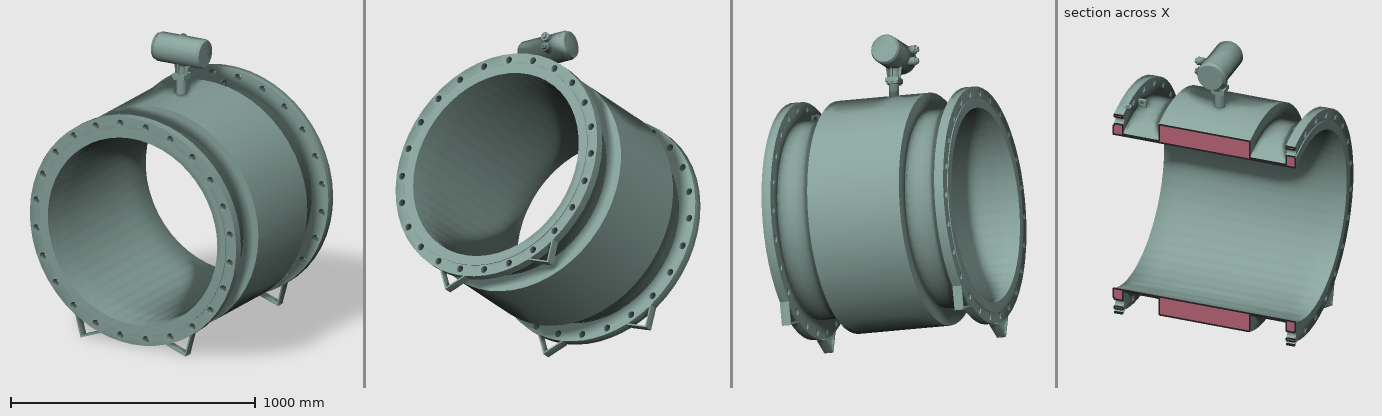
import cadquery as cq

LENGTH = 800.0
BORE_DIAMETER = 800.0
PIPE_DIAMETER = 816.0

SEAM_WIDTH = 7.0
SEAM_HEIGHT = 0.6

JACKET_DIAMETER = 957
JACKET_LENGTH = 400.0

FLANGE_DIAMETER = 974.0
FLANGE_THICKNESS = 39.0
RAISED_FACE_DIAMETER = 880.0
RAISED_FACE_HEIGHT = 4.0
BOLT_CIRCLE_DIAMETER = 920
BOLT_HOLE_DIAMETER = 30.0
BOLT_COUNT = 24

LUG_THICKNESS = 11.0
LUG_LENGTH = 35.0
LUG_TOP = 442
LUG_CORNER_RADIUS = 7.0
LUG_HOLE_DIAMETER = 18.0
LUG_HOLE_HEIGHT = 426.0

FOOT_BOTTOM = -498.0
FOOT_CORNER_X = 248.0
FOOT_LEG_LENGTH = 98
FOOT_THICKNESS = 6.0
FOOT_OUTER_LEG_ANGLE = 105
FOOT_INNER_LEG_ANGLE = 20

TERMINAL_ANGLE = 15
TERMINAL_WIDTH = 20.0
TERMINAL_LENGTH = 35.0
TERMINAL_THICKNESS = 7.0
TERMINAL_Y = 357.0
TERMINAL_SCREW_Y = 355.0
TERMINAL_SCREW_DIAMETER = 8.0
TERMINAL_SCREW_LENGTH = 22.0
TERMINAL_NUT_DIAMETER = 17.0
TERMINAL_NUT_HEIGHT = 6.0

HOUSING_TOP = 729.0
HOUSING_DIAMETER = 123
HOUSING_LENGTH = 226.0
COVER_DIAMETER = 110
COVER_RIM = 5.0
COVER_TAPER = 11.0
COVER_GAP = 4.0
COVER_GAP_DEPTH = 1.0

GLAND_X = -35.0
GLAND_SPACING = 48.0
GLAND_DIAMETER = 33.0
GLAND_RIM_DIAMETER = 37
GLAND_RIM_LENGTH = 4.0
GLAND_END_Y = 82.0
PLUG_DIAMETER = 23.0
PLUG_END_Y = 93.0
PLUG_SOCKET_DIAMETER = 8.0
PLUG_SOCKET_DEPTH = 6.0

STEM_DIAMETER = 42.0
COLLAR_TOP = 568.0
COLLAR_SIZE = 56.0
COLLAR_HEIGHT = 18.0
COLLAR_STEP_SIZE = 49
COLLAR_STEP_HEIGHT = 7.0
RIB_THICKNESS = 5.0
RIB_TOP_REACH = 33.0
RIB_BOTTOM_REACH = 28.0

HEX_SIDES = 6

HALF_LENGTH = LENGTH / 2
FLANGE_OUTER_Y = HALF_LENGTH - RAISED_FACE_HEIGHT
FLANGE_INNER_Y = FLANGE_OUTER_Y - FLANGE_THICKNESS
HOUSING_Z = HOUSING_TOP - HOUSING_DIAMETER / 2
PIPE_RADIUS = PIPE_DIAMETER / 2
FLANGE_RADIUS = FLANGE_DIAMETER / 2


def cylinder_y(diameter, start_y, end_y, x=0, z=0):
    """Cylinder along Y between two Y positions."""
    base = cq.Workplane("XZ", origin=(x, start_y, z))
    return base.circle(diameter / 2).extrude(start_y - end_y)


def make_tube():
    """Pipe, jacket and weld seams, still without the bore."""
    half_jacket = JACKET_LENGTH / 2
    tube = cylinder_y(PIPE_DIAMETER, -HALF_LENGTH, HALF_LENGTH)
    tube = tube.union(cylinder_y(JACKET_DIAMETER, -half_jacket, half_jacket))
    seam_diameter = PIPE_DIAMETER + 2 * SEAM_HEIGHT
    for side in (-1, 1):
        for root, direction in ((half_jacket, 1), (FLANGE_INNER_Y, -1)):
            end = root + direction * SEAM_WIDTH
            tube = tube.union(cylinder_y(seam_diameter, side * root, side * end))
    return tube


def make_flange(side):
    """Flange with raised face; side is -1 or 1 along Y."""
    flange = cylinder_y(FLANGE_DIAMETER, side * FLANGE_INNER_Y, side * FLANGE_OUTER_Y)
    face = cylinder_y(RAISED_FACE_DIAMETER, side * FLANGE_INNER_Y, side * HALF_LENGTH)
    holes = (
        cq.Workplane("XZ", origin=(0, side * FLANGE_INNER_Y, 0))
        .polarArray(BOLT_CIRCLE_DIAMETER / 2, 180 / BOLT_COUNT, 360, BOLT_COUNT)
        .circle(BOLT_HOLE_DIAMETER / 2)
        .extrude(-side * FLANGE_THICKNESS)
    )
    return flange.union(face).cut(holes)


def make_lug(side):
    """Upright plate with an eye, rooted in the pipe wall."""
    root_z = (PIPE_RADIUS + BORE_DIAMETER / 2) / 2
    height = LUG_TOP - root_z
    mid_y = side * (FLANGE_INNER_Y - LUG_LENGTH / 2)
    plate = (
        cq.Workplane("XY", origin=(0, mid_y, root_z))
        .box(LUG_THICKNESS, LUG_LENGTH, height, centered=(True, True, False))
        .edges("|X and >Z")
        .edges("<Y" if side > 0 else ">Y")
        .fillet(LUG_CORNER_RADIUS)
    )
    eye = (
        cq.Workplane("YZ", origin=(0, mid_y, LUG_HOLE_HEIGHT))
        .circle(LUG_HOLE_DIAMETER / 2)
        .extrude(LUG_THICKNESS, both=True)
    )
    return plate.cut(eye)


def make_foot(side, hand):
    """Strip bent to a V whose legs run up into the flange; hand mirrors it in X."""
    start_y = side * FLANGE_INNER_Y
    foot = None
    for angle, offset in ((FOOT_OUTER_LEG_ANGLE, -1), (FOOT_INNER_LEG_ANGLE, 1)):
        leg = (
            cq.Workplane("XZ", origin=(0, start_y, 0))
            .rect(FOOT_LEG_LENGTH, FOOT_THICKNESS)
            .extrude(-side * FLANGE_THICKNESS)
            .translate((FOOT_LEG_LENGTH / 2, 0, offset * FOOT_THICKNESS / 2))
            .rotate((0, 0, 0), (0, -1, 0), angle)
        )
        foot = leg if foot is None else foot.union(leg)
    foot = foot.translate((-FOOT_CORNER_X, 0, FOOT_BOTTOM))
    return foot if hand < 0 else foot.mirror("YZ")


def make_terminal():
    """Tab lying on the flange rim, its overhanging end clamped by a screw with two nuts."""
    tab = (
        cq.Workplane("XY", origin=(0, TERMINAL_Y, FLANGE_RADIUS))
        .box(TERMINAL_WIDTH, TERMINAL_LENGTH, TERMINAL_THICKNESS)
        .edges("|Z")
        .chamfer(TERMINAL_WIDTH / 4)
    )
    screw_axis = cq.Workplane("XY", origin=(0, TERMINAL_SCREW_Y, FLANGE_RADIUS))
    screw = screw_axis.circle(TERMINAL_SCREW_DIAMETER / 2).extrude(TERMINAL_SCREW_LENGTH / 2, both=True)
    nuts = screw_axis.polygon(HEX_SIDES, TERMINAL_NUT_DIAMETER).extrude(
        TERMINAL_THICKNESS / 2 + TERMINAL_NUT_HEIGHT, both=True
    )
    terminal = tab.union(screw).union(nuts)
    return terminal.rotate((0, 0, 0), (0, 1, 0), -TERMINAL_ANGLE)


def make_housing():
    """Drum with tapered covers at both ends and a gap line at the -X cover."""
    half = HOUSING_LENGTH / 2
    radius = HOUSING_DIAMETER / 2
    cover_radius = COVER_DIAMETER / 2
    gap_start = -half + COVER_RIM + COVER_TAPER
    gap_end = gap_start + COVER_GAP
    gap_radius = radius - COVER_GAP_DEPTH
    profile = [
        (-half, 0),
        (-half, cover_radius),
        (-half + COVER_RIM, cover_radius),
        (gap_start, radius),
        (gap_start, gap_radius),
        (gap_end, gap_radius),
        (gap_end, radius),
        (half - COVER_TAPER, radius),
        (half, cover_radius),
        (half, 0),
    ]
    drum = cq.Workplane("XZ").polyline(profile).close().revolve(360, (0, 0, 0), (1, 0, 0))
    return drum.translate((0, 0, HOUSING_Z))


def make_glands():
    """Two cable glands with blanking plugs, one above the other."""
    glands = cq.Workplane()
    for step in (-1, 1):
        z = HOUSING_Z + step * GLAND_SPACING / 2
        barrel = cylinder_y(GLAND_DIAMETER, 0, GLAND_END_Y, GLAND_X, z)
        rim_start_y = GLAND_END_Y - GLAND_RIM_LENGTH
        rim = cylinder_y(GLAND_RIM_DIAMETER, rim_start_y, GLAND_END_Y, GLAND_X, z)
        plug = (
            cq.Workplane("XZ", origin=(GLAND_X, GLAND_END_Y, z))
            .polygon(HEX_SIDES, PLUG_DIAMETER)
            .extrude(GLAND_END_Y - PLUG_END_Y)
        )
        socket_start_y = PLUG_END_Y - PLUG_SOCKET_DEPTH
        socket = cylinder_y(PLUG_SOCKET_DIAMETER, socket_start_y, PLUG_END_Y, GLAND_X, z)
        glands = glands.add(barrel.union(rim).union(plug).cut(socket))
    return glands.combine()


def make_stem():
    """Round stem with a square stepped collar and four tapered ribs above it."""
    stem = (
        cq.Workplane("XY", origin=(0, 0, PIPE_RADIUS))
        .circle(STEM_DIAMETER / 2)
        .extrude(HOUSING_Z - PIPE_RADIUS)
    )
    collar_bottom = COLLAR_TOP - COLLAR_HEIGHT
    collar = (
        cq.Workplane("XY", origin=(0, 0, collar_bottom))
        .rect(COLLAR_SIZE, COLLAR_SIZE)
        .extrude(COLLAR_HEIGHT)
    )
    step = (
        cq.Workplane("XY", origin=(0, 0, collar_bottom - COLLAR_STEP_HEIGHT))
        .rect(COLLAR_STEP_SIZE, COLLAR_STEP_SIZE)
        .extrude(COLLAR_STEP_HEIGHT)
    )
    housing_bottom = HOUSING_TOP - HOUSING_DIAMETER
    rib_top = HOUSING_Z - HOUSING_DIAMETER / 4
    rib = (
        cq.Workplane("XZ")
        .moveTo(-RIB_BOTTOM_REACH, COLLAR_TOP)
        .lineTo(RIB_BOTTOM_REACH, COLLAR_TOP)
        .lineTo(RIB_TOP_REACH, housing_bottom)
        .lineTo(RIB_TOP_REACH, rib_top)
        .lineTo(-RIB_TOP_REACH, rib_top)
        .lineTo(-RIB_TOP_REACH, housing_bottom)
        .close()
        .extrude(RIB_THICKNESS / 2, both=True)
    )
    stem = stem.union(collar).union(step).union(rib)
    return stem.union(rib.rotate((0, 0, 0), (0, 0, 1), 90))


body = make_tube()
for end in (-1, 1):
    body = body.union(make_flange(end)).union(make_lug(end))
    for hand in (-1, 1):
        body = body.union(make_foot(end, hand))
body = body.union(make_terminal())
body = body.union(make_stem()).union(make_housing()).union(make_glands())

result = body.cut(cylinder_y(BORE_DIAMETER, -HALF_LENGTH, HALF_LENGTH))